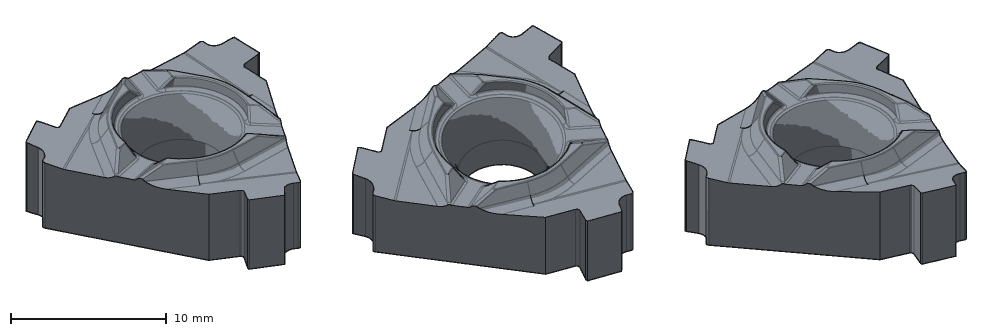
import cadquery as cq
import math

CORNERS = 3
TOOTH_DIRECTION = 90
CORNER_PITCH = 360 / CORNERS
TOP = 6.05
FAR = 18.06
INRADIUS = 6.35
SIDE_NORMAL = 60

TOOTH_TOP = 8.95
TOOTH_RIGHT = -2.55
TOOTH_LEFT = -5.0
TIP_RELIEF = 0.07
TIP_BREAK = 0.09
RIGHT_TIP_HEIGHT = 0.16
RIGHT_TIP_WIDTH = 0.05
SHOULDER = 7.5
SHOULDER_DROP = 0.04
SHOULDER_ROUND = 0.23
SIDE_LAND = 7.33
SIDE_ROUND = 0.2
SCALLOP_START = -5.85
SCALLOP_MID = (-5.33, 7.57)
SCALLOP_END = (-5.11, 8.0)

FLOOR = 4.95
RAKE_ANGLE = 10.0
RAKE_START = 5.85
RAKE_BLEND = 0.72

BOSS_INRADIUS = 4.79
BOSS_WALL_ANGLE = 35.5
BOSS_ROOT_RADIUS = 0.72
BOSS_FACE_TURN = 31.7
TOP_EDGE_RADIUS = 0.09

SLOT_ANGLE = 45.0
SLOT_FLOOR = 5.22
SLOT_FLOOR_HALF = 0.58
SLOT_TOP_HALF = 1.57
SLOT_OFFSET = 0.09
SLOT_ROOT_RADIUS = 0.25
WALL_END_RADIUS = 0.18
SLOT_WALL_MIDDLE = (SLOT_FLOOR + TOP) / 2

HOLE_RADIUS = 5.7 / 2
DISH_START = 2.25
DISH_RADIUS = 4.52
LIP_RADIUS = 0.22
RECESS_TOP_RADIUS = 4.48
RECESS_FLOOR_RADIUS = 4.3

TOLERANCE = 0.0002


def turned(point, angle):
    """Rotate a plan point about the centre by an angle in degrees."""
    x, y = point
    c = math.cos(math.radians(angle))
    s = math.sin(math.radians(angle))
    return (x * c - y * s, x * s + y * c)


def at_each_corner(shape):
    """Three copies of a shape, one for each corner."""
    return [shape.rotate((0, 0, 0), (0, 0, 1), i * CORNER_PITCH) for i in range(CORNERS)]


def make_blank():
    """Triangular plate with a toothed tip at every corner."""
    side_normal = math.radians(SIDE_NORMAL)
    shoulder_end = (INRADIUS - SHOULDER * math.sin(side_normal)) / math.cos(side_normal)
    start = (shoulder_end, SHOULDER)
    root = SHOULDER - SHOULDER_DROP
    root_mid = SHOULDER_ROUND * (1 - math.sqrt(0.5))
    side_mid = SIDE_ROUND * (1 - math.sqrt(0.5))
    outline = cq.Workplane("XY").moveTo(*start)
    for i in range(CORNERS):
        angle = i * CORNER_PITCH

        def p(x, y):
            return turned((x, y), angle)

        outline = (
            outline.lineTo(*p(TOOTH_RIGHT + SHOULDER_ROUND, root))
            .threePointArc(
                p(TOOTH_RIGHT + root_mid, root + root_mid),
                p(TOOTH_RIGHT, root + SHOULDER_ROUND),
            )
            .lineTo(*p(TOOTH_RIGHT, TOOTH_TOP - RIGHT_TIP_HEIGHT))
            .lineTo(*p(TOOTH_RIGHT - RIGHT_TIP_WIDTH, TOOTH_TOP))
            .lineTo(*p(TOOTH_LEFT + TIP_BREAK / 2, TOOTH_TOP - TIP_RELIEF))
            .lineTo(*p(TOOTH_LEFT, TOOTH_TOP - TIP_RELIEF - TIP_BREAK))
            .lineTo(*p(*SCALLOP_END))
            .threePointArc(p(*SCALLOP_MID), p(SCALLOP_START, SIDE_LAND))
            .lineTo(*p(SIDE_ROUND - INRADIUS, SIDE_LAND))
            .threePointArc(
                p(side_mid - INRADIUS, SIDE_LAND - side_mid),
                p(-INRADIUS, SIDE_LAND - SIDE_ROUND),
            )
        )
        if i < CORNERS - 1:
            outline = outline.lineTo(*turned(start, angle + CORNER_PITCH))
    return outline.close().extrude(TOP)


def root_arc(ground_angle):
    """Start, middle and end (radius, height) of the arc between boss wall and ground."""
    lean = math.tan(math.radians(BOSS_WALL_ANGLE))
    rise = math.tan(math.radians(ground_angle))
    meet_r = BOSS_INRADIUS + lean * (TOP - FLOOR + RAKE_START * rise)
    meet_r = meet_r / (1 + lean * rise)
    meet_z = FLOOR + (meet_r - RAKE_START) * rise
    wall_slope = 90 - BOSS_WALL_ANGLE
    turn = math.radians(wall_slope + ground_angle)
    tangent = BOSS_ROOT_RADIUS * math.tan(turn / 2)
    a = math.radians(BOSS_WALL_ANGLE)
    b = math.radians(ground_angle)
    wall_end = (meet_r - tangent * math.sin(a), meet_z + tangent * math.cos(a))
    ground_end = (meet_r + tangent * math.cos(b), meet_z + tangent * math.sin(b))
    centre = (
        ground_end[0] - BOSS_ROOT_RADIUS * math.sin(b),
        ground_end[1] + BOSS_ROOT_RADIUS * math.cos(b),
    )
    middle = (b - math.radians(wall_slope)) / 2
    arc_mid = (
        centre[0] + BOSS_ROOT_RADIUS * math.sin(middle),
        centre[1] - BOSS_ROOT_RADIUS * math.cos(middle),
    )
    return wall_end, arc_mid, ground_end


def ground_profile(ground_angle):
    """Section (radius, height) of the space outside the boss wall and above the ground."""
    wall_end, arc_mid, ground_end = root_arc(ground_angle)
    far_z = FLOOR + (FAR - RAKE_START) * math.tan(math.radians(ground_angle))
    return (
        cq.Workplane("XZ")
        .moveTo(BOSS_INRADIUS, TOP)
        .lineTo(*wall_end)
        .threePointArc(arc_mid, ground_end)
        .lineTo(FAR, far_z)
        .lineTo(FAR, FAR)
        .lineTo(BOSS_INRADIUS, FAR)
        .close()
    )


def under_rake():
    """Material under the rake of the +Y corner, blended into the flat ground."""
    b = math.radians(RAKE_ANGLE)
    t = RAKE_BLEND * math.tan(b / 2)
    blend_mid = (
        RAKE_START - t + RAKE_BLEND * math.sin(b / 2),
        FLOOR + RAKE_BLEND * (1 - math.cos(b / 2)),
    )
    return (
        cq.Workplane("YZ")
        .moveTo(RAKE_START - t, FLOOR)
        .threePointArc(blend_mid, (RAKE_START + t * math.cos(b), FLOOR + t * math.sin(b)))
        .lineTo(FAR, FLOOR + (FAR - RAKE_START) * math.tan(b))
        .lineTo(FAR, 0)
        .lineTo(RAKE_START - t, 0)
        .close()
        .extrude(FAR, both=True)
    )


def corner_relief():
    """Two spaces cleared around the boss at the +Y corner: on the rake, and around the turn onto the flat."""
    z_axis = ((0, 0, 0), (0, 0, 1))
    rake_side = ground_profile(RAKE_ANGLE).extrude(FAR).rotate(*z_axis, TOOTH_DIRECTION)
    turn = ground_profile(0).revolve(BOSS_FACE_TURN, (0, 0, 0), (0, 1, 0)).rotate(*z_axis, TOOTH_DIRECTION)
    flat_side = ground_profile(0).extrude(-FAR).rotate(*z_axis, TOOTH_DIRECTION + BOSS_FACE_TURN)
    return rake_side, turn.union(flat_side).cut(under_rake())


def make_slot():
    """V-shaped slot with a flat floor, running out along +X."""
    spread = (SLOT_TOP_HALF - SLOT_FLOOR_HALF) / (TOP - SLOT_FLOOR)
    height = 2 * (TOP - SLOT_FLOOR)
    half = SLOT_FLOOR_HALF + spread * height
    return (
        cq.Workplane("YZ")
        .polyline([
            (-SLOT_FLOOR_HALF, SLOT_FLOOR),
            (SLOT_FLOOR_HALF, SLOT_FLOOR),
            (half, SLOT_FLOOR + height),
            (-half, SLOT_FLOOR + height),
        ])
        .close()
        .extrude(FAR)
        .translate((0, SLOT_OFFSET, 0))
        .rotate((0, 0, 0), (0, 0, 1), SLOT_ANGLE)
    )


def make_bore():
    """Through hole, dished screw seat and the recess around it."""
    centre_r = HOLE_RADIUS + DISH_RADIUS

    def dish(z):
        return (centre_r - math.sqrt(DISH_RADIUS ** 2 - (z - DISH_START) ** 2), z)

    return (
        cq.Workplane("XZ")
        .lineTo(HOLE_RADIUS, 0)
        .lineTo(HOLE_RADIUS, DISH_START)
        .threePointArc(dish((DISH_START + SLOT_FLOOR) / 2), dish(SLOT_FLOOR))
        .lineTo(RECESS_FLOOR_RADIUS, SLOT_FLOOR)
        .lineTo(RECESS_TOP_RADIUS, TOP)
        .lineTo(0, TOP)
        .close()
        .revolve(360, (0, 0, 0), (0, 1, 0))
        .edges(cq.selectors.RadiusNthSelector(1)).fillet(LIP_RADIUS)
    )


def height_range(edge):
    """Lower and upper height of an edge's two ends."""
    heights = (edge.startPoint().z, edge.endPoint().z)
    return min(heights), max(heights)


def is_slot_wall_end(edge):
    """Sloping edge that falls from the flat top, at either end of a slot wall."""
    low, high = height_range(edge)
    return high > TOP - TOLERANCE and low < SLOT_WALL_MIDDLE


def is_inner_wall_end(edge):
    """Edge between a slot wall and the conical recess."""
    return is_slot_wall_end(edge) and edge.geomType() != "LINE"


def is_outer_wall_end(edge):
    """Edge between a slot wall and the flat outer wall of the raised centre."""
    return is_slot_wall_end(edge) and edge.geomType() == "LINE"


def is_recess_root(edge):
    """Arc between the recess wall and its floor; the slot roots run on tangent to it."""
    return edge.geomType() == "CIRCLE" and abs(edge.radius() - RECESS_FLOOR_RADIUS) < TOLERANCE


def is_top_edge(edge):
    """Edge around the flat top."""
    return height_range(edge)[0] > TOP - TOLERANCE


def rounded(part, is_wanted, radius):
    """Fillet the edges that a test accepts."""
    edges = [edge for edge in part.edges().vals() if is_wanted(edge)]
    return part.newObject(edges).fillet(radius)


part = make_blank()
for relief in corner_relief():
    for tool in at_each_corner(relief):
        part = part.cut(tool)
for slot in at_each_corner(make_slot()):
    part = part.cut(slot)
part = part.cut(make_bore())

part = rounded(part, is_inner_wall_end, WALL_END_RADIUS)
part = rounded(part, is_recess_root, SLOT_ROOT_RADIUS)
part = rounded(part, is_outer_wall_end, WALL_END_RADIUS)
result = rounded(part, is_top_edge, TOP_EDGE_RADIUS)